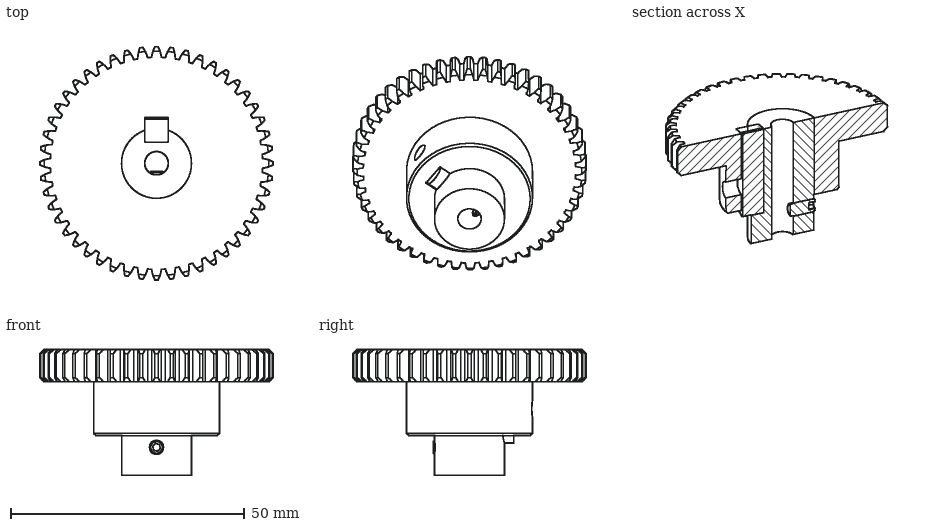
import cadquery as cq
import math

module = 1.0
tooth_count = 48
pressure_angle = math.radians(20)
tooth_pitch = 2 * math.pi / tooth_count
pitch_half_angle = tooth_pitch / 4
pitch_radius = module * tooth_count / 2
tip_radius = pitch_radius + module
dedendum = 1.25 * module
root_radius = pitch_radius - dedendum
base_radius = pitch_radius * math.cos(pressure_angle)
face_width = 7.0
tooth_chamfer = 0.95
tip_thickness = 0.65

total_height = 27.0
gear_bottom = total_height - face_width
hub_bottom = 8.5

hub_radius = 13.5
hub_chamfer = 0.5

sleeve_radius = 7.5
bore_radius = 2.5

key_width = 5.0
key_length = 20.0
key_thickness = 5.0
key_top_gap = 0.1
key_inner_y = 4.5
key_outer_y = key_inner_y + key_thickness
key_top = total_height - key_top_gap
key_bottom = key_top - key_length
key_edge_radius = 0.2
gear_keyway_top_y = 9.8

hub_hole_radius = 1.85
hub_hole_z = (hub_bottom + gear_bottom) / 2

screw_radius = 1.5
screw_length = 6.0
screw_tip_y = -1.75
screw_head_y = screw_tip_y - screw_length
screw_z = 6.0
screw_chamfer = 0.25
socket_across_flats = 1.5
socket_depth = 1.5
socket_turn = 15


def cylinder(radius, bottom, top):
    return cq.Workplane("XY", origin=(0, 0, bottom)).circle(radius).extrude(top - bottom)


def cylinder_along_y(radius, start_y, end_y, z):
    """Cylinder whose axis runs parallel to Y at x = 0."""
    plane = cq.Plane(origin=(0, start_y, z), xDir=(1, 0, 0), normal=(0, 1, 0))
    return cq.Workplane(plane).circle(radius).extrude(end_y - start_y)


def involute_angle(radius):
    """Polar angle swept by the involute between the base circle and a radius."""
    angle = math.acos(base_radius / radius)
    return math.tan(angle) - angle


def polar(radius, angle):
    return (radius * math.cos(angle), radius * math.sin(angle))


def flank_half_angle(radius):
    """Half the angle a tooth fills at a given radius of its involute flanks."""
    return pitch_half_angle + involute_angle(pitch_radius) - involute_angle(radius)


def make_toothed_rim():
    flank_radii = (root_radius, pitch_radius, tip_radius)
    root_half = flank_half_angle(root_radius)
    tip_half = tip_thickness / (2 * tip_radius)
    half_angles = (root_half, pitch_half_angle, tip_half)
    outline = cq.Workplane("XY", origin=(0, 0, gear_bottom)).moveTo(*polar(root_radius, -root_half))
    for tooth in range(tooth_count):
        centre = tooth * tooth_pitch
        rising = [polar(r, centre - half) for r, half in zip(flank_radii, half_angles)]
        falling = [polar(r, centre + half) for r, half in zip(flank_radii, half_angles)]
        next_root = centre + tooth_pitch - root_half
        outline = outline.threePointArc(rising[1], rising[2])
        outline = outline.threePointArc(polar(tip_radius, centre), falling[2])
        outline = outline.threePointArc(falling[1], falling[0])
        outline = outline.threePointArc(
            polar(root_radius, centre + tooth_pitch / 2), polar(root_radius, next_root)
        )
    rim = outline.close().extrude(face_width)
    envelope = cylinder(tip_radius, gear_bottom, total_height).edges().chamfer(tooth_chamfer)
    return rim.intersect(envelope)


def make_gear():
    hub = cylinder(hub_radius, hub_bottom, gear_bottom).faces("<Z").edges().chamfer(hub_chamfer)
    keyway = cq.Workplane("XY", origin=(0, 0, hub_bottom)).box(
        key_width, gear_keyway_top_y, total_height - hub_bottom, centered=(True, False, False)
    )
    gear = make_toothed_rim().union(hub)
    gear = gear.cut(cylinder(sleeve_radius, hub_bottom, total_height))
    gear = gear.cut(keyway)
    return gear.cut(cylinder_along_y(hub_hole_radius, sleeve_radius, hub_radius, hub_hole_z))


def make_key_block(top):
    """Square-ended block from the key's lower end to a height, with rounded inner vertical edges."""
    block_height = top - key_bottom
    block = cq.Workplane("XY").box(
        key_width, key_thickness, block_height, centered=(True, False, False)
    )
    block = block.translate((0, key_inner_y, key_bottom))
    return block.faces("<Y").edges("|Z").fillet(key_edge_radius)


def make_rounded_prism(length):
    """Prism along Y with half-round ends, its lower end level with the key's."""
    plane = cq.Plane(origin=(0, 0, key_bottom + length / 2), xDir=(1, 0, 0), normal=(0, 1, 0))
    return cq.Workplane(plane).slot2D(length, key_width, 90).extrude(key_outer_y)


def make_key():
    return make_key_block(key_top).intersect(make_rounded_prism(key_length))


def make_sleeve_keyway():
    """Round at the lower end like the key, open through the top face of the sleeve."""
    return make_key_block(total_height).intersect(make_rounded_prism(key_length + key_width))


def make_sleeve():
    sleeve = cylinder(sleeve_radius, 0, total_height)
    sleeve = sleeve.cut(cylinder(bore_radius, 0, total_height))
    sleeve = sleeve.cut(make_sleeve_keyway())
    return sleeve.cut(cylinder_along_y(screw_radius, -sleeve_radius, 0, screw_z))


def make_set_screw():
    screw = cylinder_along_y(screw_radius, screw_head_y, screw_tip_y, screw_z)
    screw = screw.edges().chamfer(screw_chamfer)
    across_corners = socket_across_flats / math.cos(math.pi / 6)
    plane = cq.Plane(origin=(0, screw_head_y, screw_z), xDir=(1, 0, 0), normal=(0, 1, 0))
    socket = cq.Workplane(plane).transformed(rotate=(0, 0, socket_turn))
    socket = socket.polygon(6, across_corners).extrude(socket_depth)
    return screw.cut(socket)


gear = make_gear()
sleeve = make_sleeve()
key = make_key()
set_screw = make_set_screw()

result = cq.Compound.makeCompound([body.solids().val() for body in (gear, sleeve, key, set_screw)])